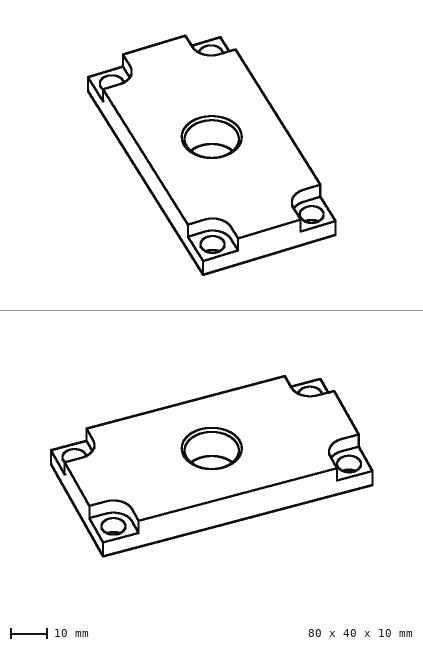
import cadquery as cq

length = 80.0
width = 40.0
thickness = 10.0

screw_inset = 5.0
screw_hole_diameter = 6.6
seat_radius = 5.5
seat_depth = 4.6
seat_size = screw_inset + seat_radius

bore_diameter = 15.0
bore_chamfer = 0.8


def corner_seat(x_side, y_side):
    """Pocket open to two plate sides, with its inner corner rounded about the screw axis."""
    pocket = cq.Workplane("XY").box(seat_size, seat_size, seat_depth)
    inner_edge = "|Z and {}X and {}Y".format("<" if x_side > 0 else ">", "<" if y_side > 0 else ">")
    return pocket.edges(inner_edge).fillet(seat_radius).translate((
        x_side * (length - seat_size) / 2,
        y_side * (width - seat_size) / 2,
        thickness - seat_depth / 2,
    ))


result = cq.Workplane("XY").box(length, width, thickness, centered=(True, True, False))

for x_side in (-1, 1):
    for y_side in (-1, 1):
        result = result.cut(corner_seat(x_side, y_side))

result = (
    result.faces("<Z").workplane(origin=(0, 0, 0))
    .rect(length - 2 * screw_inset, width - 2 * screw_inset, forConstruction=True)
    .vertices()
    .hole(screw_hole_diameter)
)

result = (
    result.faces(">Z").workplane(origin=(0, 0, thickness))
    .cskHole(bore_diameter, bore_diameter + 2 * bore_chamfer, 90)
)